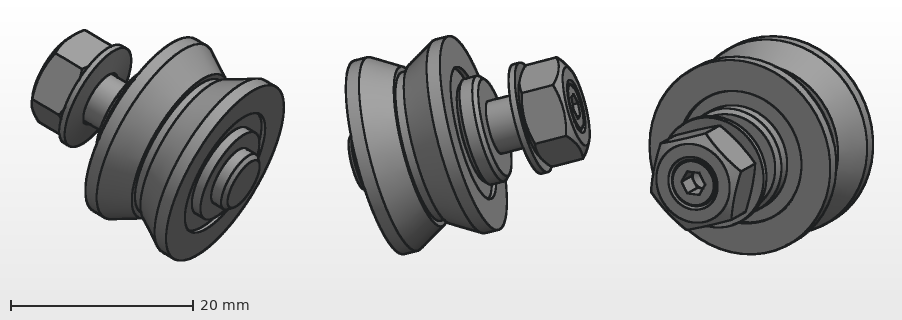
import cadquery as cq
import math


total_length = 25.5
shank_dia = 6.0
thread_dia = 5.3
thread_end_dia = 5.0
thread_end_x = 0.05
flange_dia = 12.0
flange_start_x = 9.49
flange_width = 2.5
axle_dia = 7.0
edge_chamfer = 0.5

socket_width = 2.5
socket_depth = 2.55
drill_tip_angle = 118.0

nut_width = 10.0
nut_height = 5.15
nut_turn = 18.2
nut_chamfer_angle = 30.0
nut_countersink_angle = 30.0
nut_face_dia = 8.92

washer_dia = 12.45
washer_bore_dia = 6.4
washer_thickness = 0.75
washer_dish = 0.33

roller_dia = 22.0
roller_width = 11.0
rim_width = 1.55
v_side_angle = 30.0
relief_dia = 16.9
relief_width = 1.17

bearing_dia = 15.0
bearing_setback = 0.5
hub_dia = 11.0
hub_overhang = 0.66

flange_end_x = flange_start_x + flange_width
roller_start_x = flange_end_x
roller_end_x = roller_start_x + roller_width
axis_start = (0, 0, 0)
axis_end = (1, 0, 0)

hexagon_corner_ratio = 2 / math.sqrt(3)


def revolve(points):
    """Turn a closed (x, radius) outline about the X axis."""
    return cq.Workplane("XY").polyline(points).close().revolve(360, axis_start, axis_end)


def hexagon(width, start_x, length, turn):
    """Hexagonal bar along +X; a corner points to -Y, then turns towards +Z by turn degrees."""
    bar = cq.Workplane("YZ").polygon(6, width * hexagon_corner_ratio).extrude(length)
    return bar.rotate(axis_start, axis_end, -turn).translate((start_x, 0, 0))


def make_stud():
    shank_r = shank_dia / 2
    thread_r = thread_dia / 2
    thread_end_r = thread_end_dia / 2
    thread_chamfer = thread_r - thread_end_r
    flange_r = flange_dia / 2
    axle_r = axle_dia / 2
    body = revolve([
        (thread_end_x, 0),
        (thread_end_x, thread_end_r),
        (thread_end_x + thread_chamfer, thread_r),
        (nut_height, thread_r),
        (nut_height, shank_r),
        (flange_start_x, shank_r),
        (flange_start_x, flange_r - edge_chamfer),
        (flange_start_x + edge_chamfer, flange_r),
        (flange_end_x - edge_chamfer, flange_r),
        (flange_end_x, flange_r - edge_chamfer),
        (flange_end_x, axle_r),
        (total_length - edge_chamfer, axle_r),
        (total_length, axle_r - edge_chamfer),
        (total_length, 0),
    ])
    socket = hexagon(socket_width, thread_end_x, socket_depth, 0)
    socket_r = socket_width / 2
    socket_end_x = thread_end_x + socket_depth
    tip_depth = socket_r / math.tan(math.radians(drill_tip_angle / 2))
    drill_tip = revolve([
        (socket_end_x, 0),
        (socket_end_x, socket_r),
        (socket_end_x + tip_depth, 0),
    ])
    return body.cut(socket).cut(drill_tip)


def make_nut():
    corner_r = nut_width / 2 * hexagon_corner_ratio
    face_r = nut_face_dia / 2
    chamfer_length = (corner_r - face_r) * math.tan(math.radians(nut_chamfer_angle))
    bore_r = thread_dia / 2
    bore_mouth_r = shank_dia / 2
    countersink_depth = (bore_mouth_r - bore_r) * math.tan(math.radians(nut_countersink_angle))
    chamfered_blank = revolve([
        (0, bore_mouth_r),
        (0, face_r),
        (chamfer_length, corner_r),
        (nut_height - chamfer_length, corner_r),
        (nut_height, face_r),
        (nut_height, bore_r),
        (countersink_depth, bore_r),
    ])
    return hexagon(nut_width, 0, nut_height, nut_turn).intersect(chamfered_blank)


def make_washer():
    rim_r = washer_dia / 2
    bore_r = washer_bore_dia / 2
    seat_depth = washer_dish * (rim_r - nut_face_dia / 2) / (rim_r - bore_r)
    rim_start_x = nut_height - seat_depth
    rim_end_x = rim_start_x + washer_thickness
    return revolve([
        (rim_start_x, rim_r),
        (rim_end_x, rim_r),
        (rim_end_x + washer_dish, bore_r),
        (rim_start_x + washer_dish, bore_r),
    ])


def make_roller():
    roller_r = roller_dia / 2
    relief_r = relief_dia / 2
    bore_r = bearing_dia / 2
    middle_x = (roller_start_x + roller_end_x) / 2
    relief_start_x = middle_x - relief_width / 2
    relief_end_x = middle_x + relief_width / 2
    rim_end_x = roller_start_x + rim_width
    v_depth = (relief_start_x - rim_end_x) * math.tan(math.radians(v_side_angle))
    return revolve([
        (roller_start_x, bore_r),
        (roller_start_x, roller_r),
        (rim_end_x, roller_r),
        (relief_start_x, roller_r - v_depth),
        (relief_start_x, relief_r),
        (relief_end_x, relief_r),
        (relief_end_x, roller_r - v_depth),
        (roller_end_x - rim_width, roller_r),
        (roller_end_x, roller_r),
        (roller_end_x, bore_r),
    ])


def make_bearing():
    bearing_r = bearing_dia / 2
    bore_r = axle_dia / 2
    hub_r = hub_dia / 2
    start_x = roller_start_x + bearing_setback
    end_x = roller_end_x - bearing_setback
    hub_end_x = roller_end_x + hub_overhang
    return revolve([
        (start_x, bore_r),
        (start_x, bearing_r),
        (end_x, bearing_r),
        (end_x, hub_r),
        (hub_end_x, hub_r),
        (hub_end_x, bore_r),
    ])


stud = make_stud()
nut = make_nut()
washer = make_washer()
roller = make_roller()
bearing = make_bearing()

result = cq.Compound.makeCompound([
    stud.val(),
    nut.val(),
    washer.val(),
    roller.val(),
    bearing.val(),
])